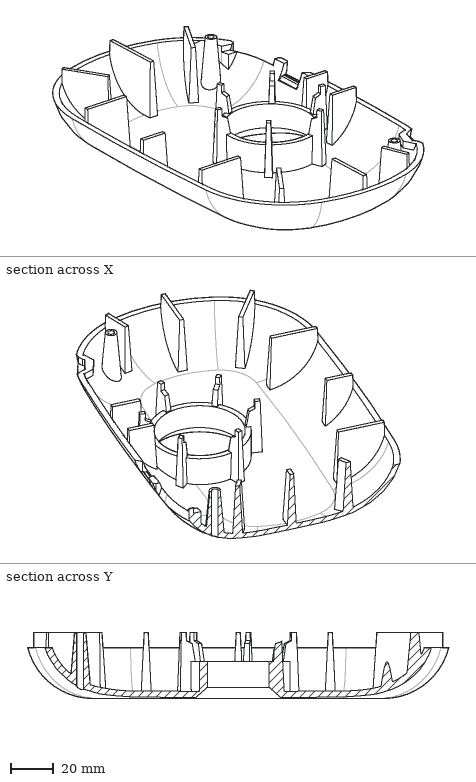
import cadquery as cq
import math

LENGTH = 196.28
WIDTH = 120.11
TOTAL_HEIGHT = 30.77
RIB_RISE = 7.0
DEPTH = TOTAL_HEIGHT - RIB_RISE
WALL = 3.0

END_RADIUS = 82.7
SIDE_RADIUS = 1050.0
CORNER_RADIUS = 48.65

FLOOR_INSET = 30.5
BOWL_RADIUS = (FLOOR_INSET**2 + DEPTH**2) / (2 * DEPTH)
BOWL_STUB = 0.01

RIB_DRAFT = 2.7
RIB_THICKNESS = 2.0
RIB_OVERLAP = 8.0

FRONT_RIB_X = 42.8
FRONT_RIB_TIP_Y = -33.2
SIDE_RIB_Y = 56.0
RIBS = [
    ((-94.8, 0.0), (-64.8, 0.0)),
    ((94.0, 0.0), (71.6, 0.0)),
    ((-FRONT_RIB_X, -SIDE_RIB_Y), (-FRONT_RIB_X, FRONT_RIB_TIP_Y)),
    ((FRONT_RIB_X, -SIDE_RIB_Y), (FRONT_RIB_X, FRONT_RIB_TIP_Y)),
    ((0.0, -SIDE_RIB_Y), (0.0, -44.1)),
    ((-6.2, SIDE_RIB_Y), (-6.2, 44.6)),
    ((15.4, SIDE_RIB_Y), (15.4, 42.9)),
    ((-84.6, -37.2), (-64.9, -25.6)),
    ((-84.6, 36.0), (-64.9, 24.6)),
    ((82.2, -39.2), (63.9, -26.5)),
    ((87.5, 30.1), (75.7, 25.8)),
]

OPENING_Y = 19.0
OPENING_DIAMETER = 42.34
COLLAR_DIAMETER = 48.0
COLLAR_TOP = -6.4
FLARE_HEIGHT = 5.2
FLARE_WIDTH = 4.2
POST_COUNT = 6
POST_DRAFT = 1.8
POST_FIRST_ANGLE = 20.0
POST_FOOT = 21.8
POST_INNER = 23.2
POST_STEP = 26.0
POST_OUTER = 28.5
POST_SLOPE_LOW = 1.8
POST_SLOPE_HIGH = 3.2

BOSS_CENTRES = [(-69.2, 38.4), (73.5, 34.5)]
BOSS_TOP_DIAMETER = 5.4
BOSS_BASE_DIAMETER = 9.4
BOSS_HOLE_DIAMETER = 3.05

PAD_DEPTH = 11.5
RECESS_DEPTH = 3.5
LIP_DEPTH = 2.9
LIP_OUTER_DEPTH = 7.1
LIP_OUTER_INSET = 2.75
LIP_INNER_INSET = 4.1
HOOK_STEP_DEPTH = 2.9
SLOT_DEPTH = 5.7
SLOT_STEP_DEPTH = 6.1
SLOT_BEVEL_DEPTH = 7.7
SLOT_LEFT = -37.0
SLOT_RIGHT = -24.0
CLEAR_Y = 62.0
INSIDE_Y = 50.0

RECESS_PAD = [(55.5, 54.5), (57.5, 49.8), (64.7, 46.6), (70.6, 49.4), (72.0, 53.0), (56.7, 58.5)]
RECESS_CUT = [(56.7, 57.6), (58.9, 53.5), (59.4, 52.9), (66.5, 50.4), (67.3, 51.3), (69.5, 52.3),
              (72.0, 52.3), (72.0, CLEAR_Y), (56.7, CLEAR_Y)]
HOOK_PAD = [(-84.5, 37.8), (-83.4, 37.8), (-80.0, 43.1), (-70.0, 45.2), (-68.0, 54.0), (-84.5, 54.0)]
HOOK_STEP = [(-70.0, 45.2), (-65.7, 46.0), (-65.7, 56.0), (-70.0, 54.0)]
LIP_CUT = [(-72.8, 52.3), (-70.0, 52.3), (-69.0, 51.3), (-68.7, 49.0), (-68.7, 44.0), (-43.7, INSIDE_Y),
           (-43.7, 58.0), (-42.5, 59.6), (-42.5, CLEAR_Y), (-72.8, CLEAR_Y)]
SLOT_CUT = [(-38.5, CLEAR_Y), (-38.5, 59.6), (SLOT_LEFT, 58.0), (SLOT_LEFT, INSIDE_Y), (SLOT_RIGHT, INSIDE_Y),
            (SLOT_RIGHT, 56.9), (-21.3, 60.0), (-21.3, CLEAR_Y)]
SLOT_EDGE = [(56.4, -SLOT_DEPTH), (56.4, -SLOT_STEP_DEPTH), (54.9, -SLOT_STEP_DEPTH),
             (53.5, -SLOT_BEVEL_DEPTH), (INSIDE_Y, -SLOT_BEVEL_DEPTH), (INSIDE_Y, -SLOT_DEPTH)]


def outline(inset, z):
    """Rim outline moved inward by inset: eight tangent arcs, at height z."""
    half_x = LENGTH / 2 - inset
    half_y = WIDTH / 2 - inset
    end_r = END_RADIUS - inset
    side_r = SIDE_RADIUS - inset
    corner_r = CORNER_RADIUS - inset
    end_x = half_x - end_r
    side_y = half_y - side_r
    to_end = end_r - corner_r
    to_side = side_r - corner_r
    span = math.hypot(end_x, side_y)
    along = (to_end**2 - to_side**2 + span**2) / (2 * span)
    across = math.sqrt(to_end**2 - along**2)
    unit_x = -end_x / span
    unit_y = side_y / span
    centre_x = end_x + along * unit_x - across * unit_y
    centre_y = along * unit_y + across * unit_x

    end_angle = math.atan2(centre_y, centre_x - end_x)
    side_angle = math.atan2(centre_y - side_y, centre_x)
    mid_angle = (end_angle + side_angle) / 2

    def corner_point(angle):
        return (centre_x + corner_r * math.cos(angle), centre_y + corner_r * math.sin(angle))

    ex, ey = corner_point(end_angle)
    mx, my = corner_point(mid_angle)
    sx, sy = corner_point(side_angle)
    return (
        cq.Workplane("XY", origin=(0, 0, z))
        .moveTo(ex, -ey)
        .threePointArc((half_x, 0), (ex, ey))
        .threePointArc((mx, my), (sx, sy))
        .threePointArc((0, half_y), (-sx, sy))
        .threePointArc((-mx, my), (-ex, ey))
        .threePointArc((-half_x, 0), (-ex, -ey))
        .threePointArc((-mx, -my), (-sx, -sy))
        .threePointArc((0, -half_y), (sx, -sy))
        .threePointArc((mx, -my), (ex, -ey))
        .close()
    )


def bowl(thickness):
    """Solid bowl below the rim whose surface lies thickness inside the outer surface."""
    radius = BOWL_RADIUS - thickness
    block = outline(FLOOR_INSET - radius, thickness - DEPTH).extrude(radius + BOWL_STUB)
    rounded = block.faces("<Z").edges().fillet(radius)
    below_rim = cq.Workplane("XY").box(2 * LENGTH, 2 * WIDTH, DEPTH, centered=(True, True, False))
    return rounded.intersect(below_rim.translate((0, 0, -DEPTH)))


def prism(points, depth):
    """Polygon prism from the rim plane down by depth."""
    return cq.Workplane("XY").polyline(points).close().extrude(-depth)


def drafted_bar(start, end, draft):
    """Bar along X between start and end, at rib height, growing downward on all sides."""
    spread = 2 * TOTAL_HEIGHT * math.tan(math.radians(draft))
    length = end - start
    return (
        cq.Workplane("XY", origin=((start + end) / 2, 0, RIB_RISE))
        .rect(length, RIB_THICKNESS)
        .workplane(offset=-TOTAL_HEIGHT)
        .rect(length + spread, RIB_THICKNESS + spread)
        .loft(ruled=True)
    )


def rib(outer, tip):
    """Drafted rib from the shell wall at outer to its free end at tip."""
    dx = tip[0] - outer[0]
    dy = tip[1] - outer[1]
    bar = drafted_bar(-RIB_OVERLAP, math.hypot(dx, dy), RIB_DRAFT)
    angle = math.degrees(math.atan2(dy, dx))
    return bar.rotate((0, 0, 0), (0, 0, 1), angle).translate((outer[0], outer[1], 0))


def post(angle):
    """Radial drafted post with a sloped shoulder on its inner side."""
    far = COLLAR_DIAMETER
    side = (
        cq.Workplane("XZ")
        .moveTo(POST_FOOT, -DEPTH)
        .lineTo(POST_FOOT, COLLAR_TOP)
        .lineTo(POST_INNER, POST_SLOPE_LOW)
        .lineTo(POST_STEP, POST_SLOPE_HIGH)
        .lineTo(POST_STEP, RIB_RISE)
        .lineTo(far, RIB_RISE)
        .lineTo(far, -DEPTH)
        .close()
        .extrude(far, both=True)
    )
    shaped = drafted_bar(POST_FOOT, POST_OUTER, POST_DRAFT).intersect(side)
    return shaped.rotate((0, 0, 0), (0, 0, 1), angle).translate((0, OPENING_Y, 0))


def boss(centre):
    """Conical screw boss, wider at the bottom."""
    taper = math.degrees(math.atan((BOSS_BASE_DIAMETER - BOSS_TOP_DIAMETER) / 2 / DEPTH))
    cone = cq.Workplane("XY").circle(BOSS_TOP_DIAMETER / 2).extrude(-TOTAL_HEIGHT, taper=-taper)
    return cone.translate((centre[0], centre[1], RIB_RISE))


def lip_cutter():
    """Long rim cut-out whose floor slopes down toward the outside."""
    drop = LIP_OUTER_DEPTH - LIP_DEPTH
    slope = math.degrees(math.atan((LIP_INNER_INSET - LIP_OUTER_INSET) / drop))
    core = outline(LIP_INNER_INSET, -LIP_DEPTH).extrude(-drop, taper=-slope)
    return prism(LIP_CUT, LIP_OUTER_DEPTH).cut(core)


def slot_edge_cutter():
    """Prism along X that steps and bevels the inner edge of the slot floor."""
    profile = cq.Workplane("YZ", origin=(SLOT_LEFT, 0, 0)).polyline(SLOT_EDGE).close()
    return profile.extrude(SLOT_RIGHT - SLOT_LEFT)


def opening_cutter():
    """Round opening that flares out at the underside."""
    radius = OPENING_DIAMETER / 2
    return (
        cq.Workplane("XZ")
        .moveTo(0, -DEPTH)
        .lineTo(radius + FLARE_WIDTH, -DEPTH)
        .lineTo(radius, FLARE_HEIGHT - DEPTH)
        .lineTo(radius, RIB_RISE)
        .lineTo(0, RIB_RISE)
        .close()
        .revolve(360, (0, 0, 0), (0, 1, 0))
        .translate((0, OPENING_Y, 0))
    )


outer_bowl = bowl(0)
shell = outer_bowl.cut(bowl(WALL))
shell = shell.union(prism(RECESS_PAD, RECESS_DEPTH).intersect(outer_bowl))
shell = shell.union(prism(HOOK_PAD, PAD_DEPTH).intersect(outer_bowl))
shell = shell.cut(prism(RECESS_CUT, RECESS_DEPTH))
long_cut = lip_cutter()
shell = shell.cut(long_cut)
shell = shell.cut(prism(SLOT_CUT, SLOT_DEPTH))
shell = shell.cut(slot_edge_cutter())
hook_step = prism(HOOK_STEP, PAD_DEPTH).cut(prism(HOOK_STEP, HOOK_STEP_DEPTH)).cut(long_cut)
shell = shell.union(hook_step.intersect(outer_bowl))

envelope = outline(WALL, 0).extrude(RIB_RISE).union(outer_bowl)
collar = (
    cq.Workplane("XY", origin=(0, OPENING_Y, -DEPTH))
    .circle(COLLAR_DIAMETER / 2)
    .extrude(DEPTH + COLLAR_TOP)
)
details = [rib(outer_end, inner_tip) for outer_end, inner_tip in RIBS]
details += [post(POST_FIRST_ANGLE + index * 360 / POST_COUNT) for index in range(POST_COUNT)]
details += [boss(centre) for centre in BOSS_CENTRES]
inside = cq.Workplane(collar.val().fuse(*[detail.val() for detail in details]))
body = shell.union(inside.intersect(envelope))

screw_holes = (
    cq.Workplane("XY", origin=(0, 0, -DEPTH))
    .pushPoints(BOSS_CENTRES)
    .circle(BOSS_HOLE_DIAMETER / 2)
    .extrude(TOTAL_HEIGHT)
)
result = body.cut(opening_cutter()).cut(screw_holes)